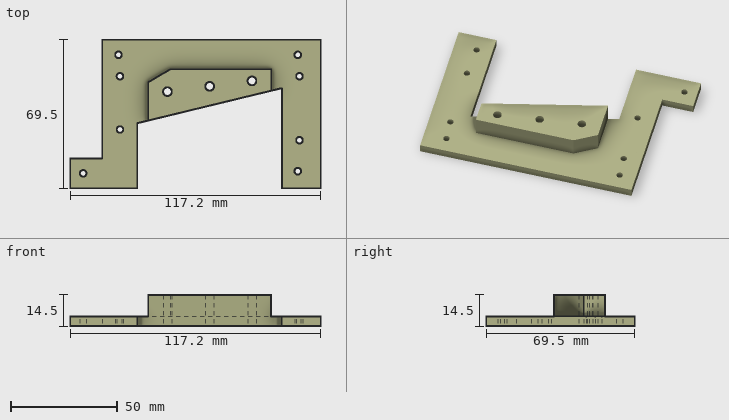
import cadquery as cq

plate_length = 117.25
plate_depth = 69.5
plate_thickness = 4.5
foot_length = 15.0
foot_depth = 14.0
left_leg_inner_x = 31.4
right_leg_width = 18.25
right_leg_inner_x = plate_length - right_leg_width

slope_left_y = 30.4
slope_right_y = 46.8
slope = (slope_right_y - slope_left_y) / (right_leg_inner_x - left_leg_inner_x)

block_height = 10.0
block_left_x = 36.5
block_right_x = 94.0
block_back_y = 55.6
corner_cut_length = 10.25
corner_cut_depth = 6.0

mount_hole_diameter = 3.0
foot_hole = (6.1, 7.0)
outer_left_x = 22.6
outer_right_x = 106.4
outer_back_y = 62.4
outer_front_y = 8.0
inner_left_x = 23.3
inner_right_x = 107.2
inner_back_y = 52.4
inner_left_front_y = 27.5
inner_right_front_y = 22.5
mount_holes = [
    foot_hole,
    (outer_left_x, outer_back_y),
    (outer_right_x, outer_back_y),
    (outer_right_x, outer_front_y),
    (inner_left_x, inner_back_y),
    (inner_right_x, inner_back_y),
    (inner_left_x, inner_left_front_y),
    (inner_right_x, inner_right_front_y),
]

block_hole_diameter = 4.0
block_hole_count = 3
first_block_hole_x = 45.5
first_block_hole_y = 45.2
block_hole_step_x = 19.75
block_hole_step_y = 2.5
block_holes = [
    (first_block_hole_x + i * block_hole_step_x, first_block_hole_y + i * block_hole_step_y)
    for i in range(block_hole_count)
]


def slope_y(x):
    """Y of the sloped inner edge at a given X."""
    return slope_left_y + slope * (x - left_leg_inner_x)


def make_plate():
    outline = [
        (0, 0),
        (left_leg_inner_x, 0),
        (left_leg_inner_x, slope_left_y),
        (right_leg_inner_x, slope_right_y),
        (right_leg_inner_x, 0),
        (plate_length, 0),
        (plate_length, plate_depth),
        (foot_length, plate_depth),
        (foot_length, foot_depth),
        (0, foot_depth),
    ]
    return cq.Workplane("XY").polyline(outline).close().extrude(plate_thickness)


def make_block():
    """Block standing on the plate, with its back left corner cut off."""
    outline = [
        (block_left_x, slope_y(block_left_x)),
        (block_right_x, slope_y(block_right_x)),
        (block_right_x, block_back_y),
        (block_left_x + corner_cut_length, block_back_y),
        (block_left_x, block_back_y - corner_cut_depth),
    ]
    return (
        cq.Workplane("XY")
        .workplane(offset=plate_thickness)
        .polyline(outline)
        .close()
        .extrude(block_height)
    )


def make_pins(centers, diameter):
    """Full-height cylinders used to cut through holes."""
    total_height = plate_thickness + block_height
    return cq.Workplane("XY").pushPoints(centers).circle(diameter / 2).extrude(total_height)


body = make_plate().union(make_block())
body = body.cut(make_pins(mount_holes, mount_hole_diameter))
result = body.cut(make_pins(block_holes, block_hole_diameter))